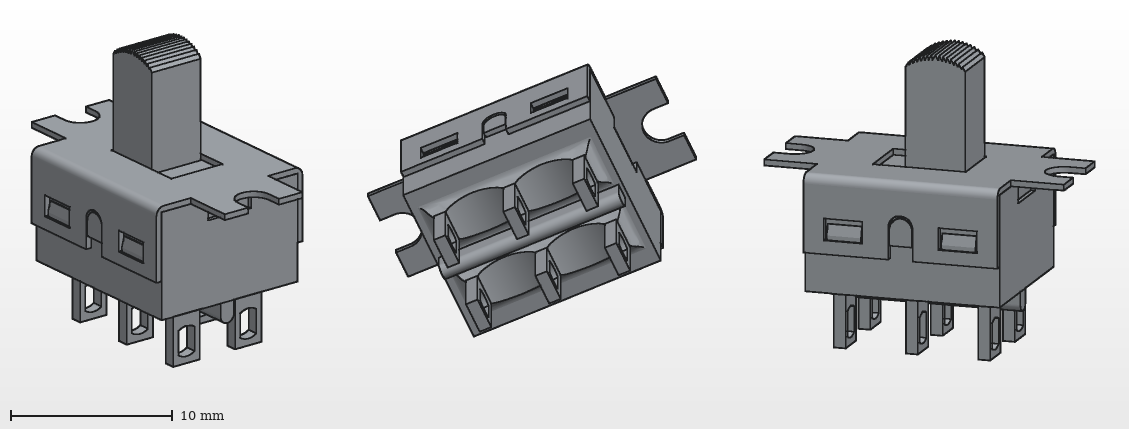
import cadquery as cq
import math


cover_length = 12.65
cover_width = 11.42
cover_top = 7.59
sheet = 0.4
bend_radius = 0.59
skirt_bottom = 2.58
ear_span = 19.56
ear_width = 6.06
screw_slot_diameter = 2.4
screw_slot_depth = 2.2

housing_length = 12.7
housing_width = cover_width - 2 * sheet
housing_top = cover_top - sheet
end_notch_width = 3.36
end_notch_floor = 5.77
end_notch_depth = 0.3

window_x = 3.74
window_width = 2.5
window_bottom = 3.46
window_top = 4.87
wedge_width = 2.23
wedge_shoulder = 3.75
wedge_top = 4.45
wedge_reach = 0.23
wedge_top_reach = 0.05

key_slot_width = 1.6
key_slot_top = 5.42
key_width = 1.47
key_top = 5.25
key_setback = 0.05

opening_length = 6.06
opening_width = 4.01
lever_length = 3.9
lever_width = 3.83
lever_x = -1.02
lever_top = 14.87
lever_shoulder = 13.97
tooth_pitch = 0.25
teeth_per_side = 7
tooth_lean = 0.068
crest_radius = 2.88
root_drop = 0.31
root_radius = 3.52

lug_pitch_x = 4.71
lug_pitch_y = 4.83
lug_thickness = 0.78
lug_width = 2.07
lug_bottom = -3.95
eye_width = 1.25
eye_top = -1.47
eye_bottom = -3.48
eye_arc_rise = 0.2

mound_depth = 0.59
mound_length = 11.74
mound_width = 3.56
mound_flat_x = 0.59
mound_flat_y = 1.58
saddle_depth = 0.18

rib_length = 12.2
rib_width = 1.02
rib_depth = 1.55


def block(length, width, bottom, top, x=0.0, y=0.0):
    """Upright box centred on (x, y) between two heights."""
    return cq.Workplane("XY", origin=(x, y, bottom)).box(
        length, width, top - bottom, centered=(True, True, False))


def arched_block(width, thickness, bottom, top, y):
    """Upright tongue with a half-round top, centred on x = 0 and the given y."""
    radius = width / 2
    spring = top - radius
    return (
        cq.Workplane("XZ", origin=(0, y + thickness / 2, 0))
        .moveTo(-radius, bottom)
        .lineTo(radius, bottom)
        .lineTo(radius, spring)
        .threePointArc((0, top), (-radius, spring))
        .close()
        .extrude(thickness)
    )


def make_cover():
    cover = block(cover_length, cover_width, skirt_bottom, cover_top)
    cover = cover.edges("|X and >Z").fillet(bend_radius)
    cover = cover.cut(block(cover_length, housing_width, skirt_bottom, housing_top))
    cover = cover.union(block(ear_span, ear_width, housing_top, cover_top))

    slot_radius = screw_slot_diameter / 2
    slot_reach = screw_slot_depth - slot_radius
    for side in (-1, 1):
        end_x = side * ear_span / 2
        straight = block(2 * slot_reach, screw_slot_diameter, housing_top, cover_top, x=end_x)
        round_end = (
            cq.Workplane("XY", origin=(end_x - side * slot_reach, 0, housing_top))
            .circle(slot_radius)
            .extrude(sheet)
        )
        cover = cover.cut(straight).cut(round_end)

    cover = cover.cut(block(opening_length, opening_width, housing_top, cover_top))

    skirt_y = (cover_width - sheet) / 2
    for y in (-skirt_y, skirt_y):
        cover = cover.cut(arched_block(key_slot_width, sheet, skirt_bottom, key_slot_top, y))
        for x in (-window_x, window_x):
            cover = cover.cut(block(window_width, sheet, window_bottom, window_top, x, y))
    return cover


def make_wedge(x):
    """Snap wedge on the -Y face of the housing."""
    face_y = -housing_width / 2
    return (
        cq.Workplane("YZ", origin=(x - wedge_width / 2, 0, 0))
        .moveTo(face_y, window_bottom)
        .lineTo(face_y - wedge_reach, window_bottom)
        .lineTo(face_y - wedge_reach, wedge_shoulder)
        .lineTo(face_y - wedge_top_reach, wedge_top)
        .lineTo(face_y, wedge_top)
        .close()
        .extrude(wedge_width)
    )


def make_housing():
    housing = block(housing_length, housing_width, 0, housing_top)
    for side in (-1, 1):
        notch_x = side * (housing_length - end_notch_depth) / 2
        housing = housing.cut(
            block(end_notch_depth, end_notch_width, end_notch_floor, housing_top, x=notch_x))

    key_reach = sheet - key_setback
    key_y = -(housing_width + key_reach) / 2
    details = arched_block(key_width, key_reach, window_bottom, key_top, key_y)
    for x in (-window_x, window_x):
        details = details.union(make_wedge(x))
    return housing.union(details).union(details.mirror("XZ"))


def make_lever():
    """Lever whose crowned top carries saw teeth leaning away from the middle."""

    def crest(x):
        return lever_top - crest_radius + math.sqrt(crest_radius**2 - x**2)

    def root(x):
        return lever_top - root_drop - root_radius + math.sqrt(root_radius**2 - x**2)

    half = lever_length / 2
    right_side = []
    for tooth in range(1, teeth_per_side + 1):
        crest_x = tooth * tooth_pitch
        root_x = crest_x - tooth_lean
        right_side += [(root_x, root(root_x)), (crest_x, crest(crest_x))]
    right_side += [(half, lever_shoulder), (half, housing_top)]
    left_side = [(-x, z) for x, z in reversed(right_side)]
    outline = left_side + [(0, lever_top)] + right_side
    return (
        cq.Workplane("XZ", origin=(lever_x, lever_width / 2, 0))
        .polyline(outline)
        .close()
        .extrude(lever_width)
    )


def make_lug(x, y):
    lug = block(lug_thickness, lug_width, lug_bottom, 0, x, y)
    left = y - eye_width / 2
    right = y + eye_width / 2
    eye = (
        cq.Workplane("YZ", origin=(x - lug_thickness / 2, 0, 0))
        .moveTo(left, eye_bottom + eye_arc_rise)
        .threePointArc((y, eye_bottom), (right, eye_bottom + eye_arc_rise))
        .lineTo(right, eye_top - eye_arc_rise)
        .threePointArc((y, eye_top), (left, eye_top - eye_arc_rise))
        .close()
        .extrude(lug_thickness)
    )
    return lug.cut(eye)


def make_mounds(y):
    """S-flanked mounds of one lug row: a long profile crossed with a wide one."""
    level = [(1, 0), (1, 0)]
    half_length = mound_length / 2
    half_flat = mound_flat_x / 2
    last_flat = lug_pitch_x + half_flat
    saddle_x = lug_pitch_x / 2
    along = (
        cq.Workplane("XZ", origin=(0, y + mound_width / 2, 0))
        .moveTo(-half_length, 0)
        .spline([(-last_flat, -mound_depth)], tangents=level, includeCurrent=True)
    )
    for x in (-lug_pitch_x, 0):
        along = (
            along.lineTo(x + half_flat, -mound_depth)
            .threePointArc((x + saddle_x, -saddle_depth), (x + lug_pitch_x - half_flat, -mound_depth))
        )
    along = (
        along.lineTo(last_flat, -mound_depth)
        .spline([(half_length, 0)], tangents=level, includeCurrent=True)
        .close()
        .extrude(mound_width)
    )

    half_width = mound_width / 2
    half_flat = mound_flat_y / 2
    across = (
        cq.Workplane("YZ", origin=(-half_length, y, 0))
        .moveTo(-half_width, 0)
        .spline([(-half_flat, -mound_depth)], tangents=level, includeCurrent=True)
        .lineTo(half_flat, -mound_depth)
        .spline([(half_width, 0)], tangents=level, includeCurrent=True)
        .close()
        .extrude(mound_length)
    )
    return along.intersect(across)


def make_rib():
    rib = block(rib_length, rib_width, -rib_depth, 0)
    nose_radius = rib_width / 2
    nose = (
        cq.Workplane("YZ", origin=(-rib_length / 2, 0, 0))
        .center(0, nose_radius - rib_depth)
        .circle(nose_radius)
        .extrude(rib_length)
    )
    return rib.cut(block(rib_length, rib_width, -rib_depth, nose_radius - rib_depth)).union(nose)


result = make_housing().union(make_cover()).union(make_lever()).union(make_rib())
for row_y in (-lug_pitch_y / 2, lug_pitch_y / 2):
    result = result.union(make_mounds(row_y))
    for lug_x in (-lug_pitch_x, 0, lug_pitch_x):
        result = result.union(make_lug(lug_x, row_y))